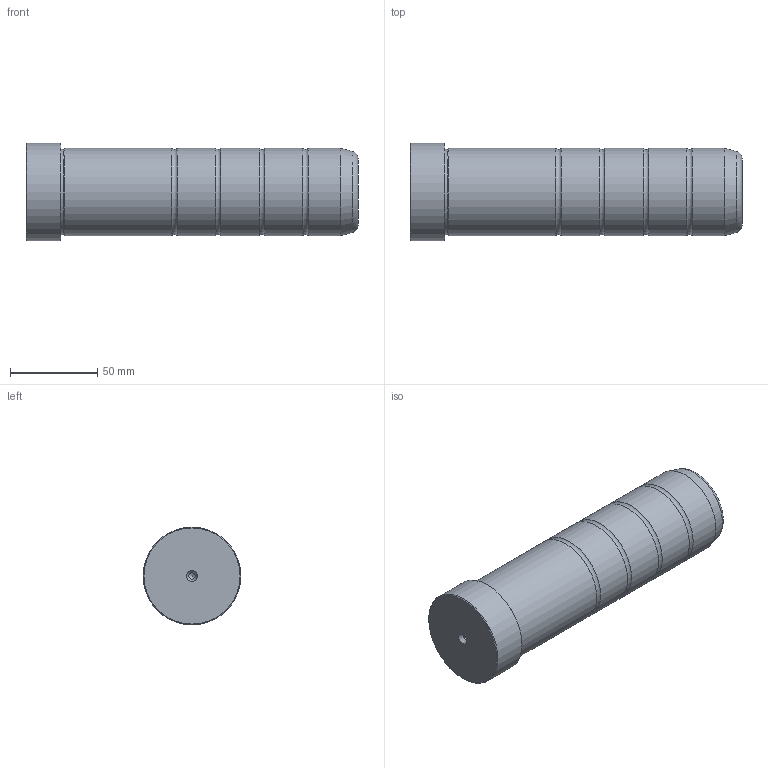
import cadquery as cq
import math

total_length = 190.0
head_diameter = 56.0
head_length = 20.0
head_chamfer = 0.5
shaft_diameter = 50.0

undercut_length = 2.0
undercut_depth = 0.5
undercut_ramp = 0.5

groove_count = 4
groove_pitch = 25.0
first_groove_center = 85.0
groove_width = 3.1
groove_depth = 0.7

nose_length = 10.0
nose_angle = 15.0
nose_radius = 4.0

hole_diameter = 3.5
hole_mouth_diameter = 6.4
hole_mouth_angle = 60.0
hole_depth = 10.0
drill_point_angle = 118.0

head_radius = head_diameter / 2
shaft_radius = shaft_diameter / 2
neck_radius = shaft_radius - undercut_depth


def revolve_about_x(profile):
    """Revolve a closed (X, radius) profile drawn on the XY plane about the X axis."""
    return profile.close().revolve(360, (0, 0, 0), (1, 0, 0))


def make_body():
    shaft_start = head_length + undercut_length
    nose_start = total_length - nose_length
    tip_radius = shaft_radius - nose_length * math.tan(math.radians(nose_angle))
    profile = (
        cq.Workplane("XY")
        .lineTo(0, head_radius - head_chamfer)
        .lineTo(head_chamfer, head_radius)
        .lineTo(head_length, head_radius)
        .lineTo(head_length, neck_radius)
        .lineTo(shaft_start - undercut_ramp, neck_radius)
        .lineTo(shaft_start, shaft_radius)
        .lineTo(nose_start, shaft_radius)
        .lineTo(total_length, tip_radius)
        .lineTo(total_length, 0)
    )
    return revolve_about_x(profile).faces(">X").edges().fillet(nose_radius)


def make_groove(center):
    """Ring with a circular-arc section that cuts one lubrication groove."""
    half_width = groove_width / 2
    profile = (
        cq.Workplane("XY")
        .moveTo(center - half_width, shaft_radius)
        .threePointArc((center, shaft_radius - groove_depth), (center + half_width, shaft_radius))
        .lineTo(center + half_width, head_radius)
        .lineTo(center - half_width, head_radius)
    )
    return revolve_about_x(profile)


def make_center_hole():
    hole_radius = hole_diameter / 2
    mouth_radius = hole_mouth_diameter / 2
    mouth_depth = (mouth_radius - hole_radius) / math.tan(math.radians(hole_mouth_angle / 2))
    point_depth = hole_radius / math.tan(math.radians(drill_point_angle / 2))
    profile = (
        cq.Workplane("XY")
        .lineTo(0, mouth_radius)
        .lineTo(mouth_depth, hole_radius)
        .lineTo(hole_depth, hole_radius)
        .lineTo(hole_depth + point_depth, 0)
    )
    return revolve_about_x(profile)


result = make_body()
for index in range(groove_count):
    result = result.cut(make_groove(first_groove_center + index * groove_pitch))
result = result.cut(make_center_hole())